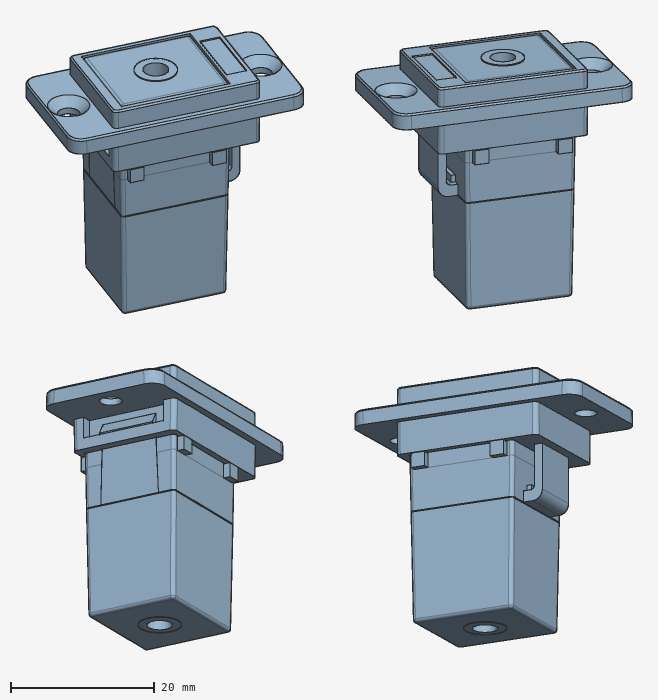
import cadquery as cq
import math


FLANGE_WIDTH = 19.0
FLANGE_TOP_WIDTH = 18.8
FLANGE_LENGTH = 35.5
FLANGE_THICKNESS = 2.3
FLANGE_CORNER_RADIUS = 2.1
FLANGE_CHAMFER = 0.25

SCREW_SPACING = 29.0
SCREW_DIAMETER = 3.2
COUNTERSINK_DIAMETER = 5.9
COUNTERSINK_ANGLE = 90

HOUSING_WIDTH = 16.8
HOUSING_END_WIDTH = 16.6
HOUSING_LENGTH = 22.2
HOUSING_TOP = 5.1
HOUSING_BOTTOM = -4.75
HOUSING_CORNER_RADIUS = 0.7
HOUSING_CHAMFER = 0.25

LABEL_WIDTH = 9.9
LABEL_LENGTH = 3.0
LABEL_DEPTH = 0.2
LABEL_CENTRE_Y = 8.83

OPENING_WIDTH = 14.7
OPENING_BACK = 6.85
OPENING_FRONT = -9.55
OPENING_LENGTH = OPENING_BACK - OPENING_FRONT
MODULE_CENTRE_Y = (OPENING_BACK + OPENING_FRONT) / 2
SLOT_WIDTH = 13.0
SLOT_SILL = -3.1

PLUG_TOP = HOUSING_TOP - 0.05
PLUG_EDGE_RADIUS = 0.6

JOINT_WIDTH = 14.6
COLLAR_BOTTOM = -6.95
JOINT_LENGTH = 16.2
JOINT_Z = -12.95
BLOCK_BOTTOM = -29.1
BLOCK_CORNER_RADIUS = 0.55
BLOCK_DRAFT_ANGLE = 0.9
BLOCK_BOTTOM_RADIUS = 0.45

GROOVE_HEIGHT = 0.1
GROOVE_DEPTH = 0.1

PAD_DIAMETER = 6.1
PAD_TOP = PLUG_TOP + 0.15
PAD_BOTTOM = BLOCK_BOTTOM - 0.1
BORE_DIAMETER = 3.6
BORE_Y = -1.35

TAB_SPAN = 16.8
TAB_LENGTH = 2.1
TAB_TOP = HOUSING_BOTTOM - 0.1
TAB_CENTRES_Y = (4.8, -7.6)

LATCH_TOP_WIDTH = 8.65
LATCH_BOTTOM_WIDTH = 9.4
LATCH_PROUD = 0.1
LATCH_ROOT = 1.0
HOOK_TOP = -1.05
HOOK_EDGE = -2.6
HOOK_REACH = 0.9

ARM_WIDTH = 8.0
ARM_OUTER_Y = 9.7
ARM_INNER_Y = 8.5
ARM_TOP = 0.0
ARM_FOOT_TOP = -11.3
ARM_OUTER_RADIUS = 1.5
ARM_INNER_RADIUS = 0.75
RIB_WIDTH = 6.0
RIB_REACH = 0.6
RIB_HEIGHT = 1.05


def box_between(width, front, back, bottom, top):
    """Box centred on X, between two Y values and two Z values."""
    return (
        cq.Workplane("XY", origin=(0, (front + back) / 2, bottom))
        .rect(width, back - front)
        .extrude(top - bottom)
    )


def drafted_block(bottom_size, top_size, corner_radius, bottom, top, centre_y=0):
    """Round-cornered block whose (width, length) changes evenly from bottom to top."""
    lower_outline = cq.Sketch().rect(*bottom_size).vertices().fillet(corner_radius)
    upper_outline = cq.Sketch().rect(*top_size).vertices().fillet(corner_radius)
    lift = cq.Location(cq.Vector(0, 0, top - bottom))
    return (
        cq.Workplane("XY", origin=(0, centre_y, bottom))
        .placeSketch(lower_outline, upper_outline.moved(lift))
        .loft(ruled=True)
    )




def make_flange():
    flange = drafted_block(
        (FLANGE_WIDTH, FLANGE_LENGTH),
        (FLANGE_TOP_WIDTH, FLANGE_LENGTH),
        FLANGE_CORNER_RADIUS,
        0,
        FLANGE_THICKNESS,
    )
    return flange.faces(">Z").chamfer(FLANGE_CHAMFER)


def make_housing():
    """Housing, widest at the flange underside and drafted both up and down."""
    middle = (HOUSING_WIDTH, HOUSING_LENGTH)
    end = (HOUSING_END_WIDTH, HOUSING_LENGTH)
    upper = drafted_block(middle, end, HOUSING_CORNER_RADIUS, 0, HOUSING_TOP)
    lower = drafted_block(end, middle, HOUSING_CORNER_RADIUS, HOUSING_BOTTOM, 0)
    return upper.faces(">Z").chamfer(HOUSING_CHAMFER).union(lower)


def make_screw_hole(centre_y):
    """Solid of one countersunk hole, revolved about its own axis."""
    hole_radius = SCREW_DIAMETER / 2
    sink_radius = COUNTERSINK_DIAMETER / 2
    sink_depth = (sink_radius - hole_radius) / math.tan(math.radians(COUNTERSINK_ANGLE / 2))
    half_section = [
        (0, 0),
        (hole_radius, 0),
        (hole_radius, FLANGE_THICKNESS - sink_depth),
        (sink_radius, FLANGE_THICKNESS),
        (0, FLANGE_THICKNESS),
    ]
    return (
        cq.Workplane("XZ", origin=(0, centre_y, 0))
        .polyline(half_section)
        .close()
        .revolve(360, (0, 0), (0, 1))
    )


def make_frame():
    opening = box_between(OPENING_WIDTH, OPENING_FRONT, OPENING_BACK, HOUSING_BOTTOM, HOUSING_TOP)
    latch_slot = box_between(SLOT_WIDTH, -HOUSING_LENGTH / 2, OPENING_FRONT, SLOT_SILL, 0)
    label_recess = box_between(
        LABEL_WIDTH,
        LABEL_CENTRE_Y - LABEL_LENGTH / 2,
        LABEL_CENTRE_Y + LABEL_LENGTH / 2,
        HOUSING_TOP - LABEL_DEPTH,
        HOUSING_TOP,
    )
    frame = make_flange().union(make_housing()).cut(opening).cut(latch_slot).cut(label_recess)
    for centre_y in (-SCREW_SPACING / 2, SCREW_SPACING / 2):
        frame = frame.cut(make_screw_hole(centre_y))
    return frame.cut(make_latch()).cut(make_arm())




def make_plug():
    plug = box_between(OPENING_WIDTH, OPENING_FRONT, OPENING_BACK, HOUSING_BOTTOM, PLUG_TOP)
    return plug.edges("|Z or >Z").fillet(PLUG_EDGE_RADIUS)


def make_block():
    """Collar, upper part and lower part of the block below the frame."""
    collar_size = (OPENING_WIDTH, OPENING_LENGTH)
    joint_size = (JOINT_WIDTH, JOINT_LENGTH)
    shrink = 2 * (JOINT_Z - BLOCK_BOTTOM) * math.tan(math.radians(BLOCK_DRAFT_ANGLE))
    bottom_size = (JOINT_WIDTH - shrink, JOINT_LENGTH - shrink)

    collar = drafted_block(
        collar_size, collar_size, BLOCK_CORNER_RADIUS, COLLAR_BOTTOM, HOUSING_BOTTOM, MODULE_CENTRE_Y
    )
    upper = drafted_block(
        joint_size, collar_size, BLOCK_CORNER_RADIUS, JOINT_Z, COLLAR_BOTTOM, MODULE_CENTRE_Y
    )
    lower = drafted_block(
        bottom_size, joint_size, BLOCK_CORNER_RADIUS, BLOCK_BOTTOM, JOINT_Z, MODULE_CENTRE_Y
    )
    lower = lower.faces("<Z").edges().fillet(BLOCK_BOTTOM_RADIUS)
    return collar.union(upper).union(lower)


def make_joint_groove():
    """Ring that cuts the groove just below the joint; its outside clears the block."""
    core_width = JOINT_WIDTH - 2 * GROOVE_DEPTH
    core_length = JOINT_LENGTH - 2 * GROOVE_DEPTH
    return (
        cq.Workplane("XY", origin=(0, MODULE_CENTRE_Y, JOINT_Z))
        .rect(OPENING_WIDTH, OPENING_LENGTH)
        .rect(core_width, core_length)
        .extrude(-GROOVE_HEIGHT)
    )


def make_latch():
    """Strip that narrows upward along the front face and ends in a sloped hook in the latch slot."""
    foot_y = MODULE_CENTRE_Y - JOINT_LENGTH / 2
    strip_y = OPENING_FRONT - LATCH_PROUD
    hook_y = OPENING_FRONT - HOOK_REACH
    root_y = OPENING_FRONT + LATCH_ROOT
    side_outline = [
        (root_y, JOINT_Z),
        (foot_y, JOINT_Z),
        (strip_y, HOUSING_BOTTOM),
        (strip_y, SLOT_SILL),
        (hook_y, SLOT_SILL),
        (hook_y, HOOK_EDGE),
        (OPENING_FRONT, HOOK_TOP),
        (root_y, HOOK_TOP),
    ]
    half_top = LATCH_TOP_WIDTH / 2
    half_bottom = LATCH_BOTTOM_WIDTH / 2
    front_outline = [
        (-half_bottom, JOINT_Z),
        (half_bottom, JOINT_Z),
        (half_top, HOOK_EDGE),
        (half_top, HOOK_TOP),
        (-half_top, HOOK_TOP),
        (-half_top, HOOK_EDGE),
    ]
    side = cq.Workplane("YZ").polyline(side_outline).close().extrude(LATCH_BOTTOM_WIDTH, both=True)
    front = cq.Workplane("XZ").polyline(front_outline).close().extrude(FLANGE_LENGTH, both=True)
    return side.intersect(front)


def make_arm():
    """L-shaped spring arm, whose foot starts inside the block."""
    outside = box_between(ARM_WIDTH, MODULE_CENTRE_Y, ARM_OUTER_Y, JOINT_Z, ARM_TOP)
    outside = outside.edges("|X and >Y and <Z").fillet(ARM_OUTER_RADIUS)
    inside = box_between(ARM_WIDTH, MODULE_CENTRE_Y, ARM_INNER_Y, ARM_FOOT_TOP, ARM_TOP)
    inside = inside.edges("|X and >Y and <Z").fillet(ARM_INNER_RADIUS)
    return outside.cut(inside)


def make_rib():
    """Small rib on the back face, resting on the foot of the spring arm."""
    rib_end = OPENING_BACK + RIB_REACH
    return box_between(RIB_WIDTH, MODULE_CENTRE_Y, rib_end, ARM_FOOT_TOP, ARM_FOOT_TOP + RIB_HEIGHT)


def make_tabs(centre_y):
    """One tab on each side, as a bar through the block."""
    front = centre_y - TAB_LENGTH / 2
    return box_between(TAB_SPAN, front, front + TAB_LENGTH, COLLAR_BOTTOM, TAB_TOP)


def make_module():
    module = make_plug().union(make_block()).cut(make_joint_groove())
    module = module.union(make_latch()).union(make_arm()).union(make_rib())
    for centre_y in TAB_CENTRES_Y:
        module = module.union(make_tabs(centre_y))
    axis = cq.Workplane("XY", origin=(0, BORE_Y, PAD_BOTTOM))
    pads = axis.circle(PAD_DIAMETER / 2).extrude(PAD_TOP - PAD_BOTTOM)
    bore = axis.circle(BORE_DIAMETER / 2).extrude(PAD_TOP - PAD_BOTTOM)
    return module.union(pads).cut(bore)


frame = make_frame()
module = make_module()
result = cq.Compound.makeCompound([frame.val(), module.val()])